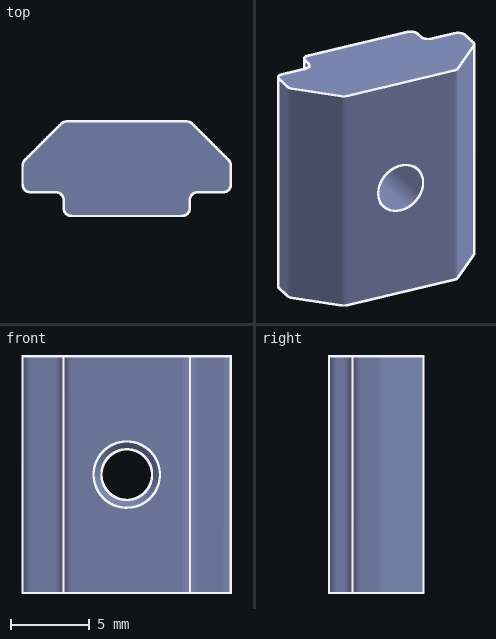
import cadquery as cq

width = 13.2
depth = 6.0
length = 15.0

stem_width = 8.0
stem_height = 1.5
edge_radius = 0.5

hole_diameter = 3.2
countersink_diameter = 4.2

half_width = width / 2
half_stem = stem_width / 2
front_y = -depth / 2
back_y = depth / 2
shoulder_y = front_y + stem_height
bevel = half_width - half_stem


def make_body():
    """Extrude the T-nut profile and round all its long edges."""
    right_side = [
        (half_stem, front_y),
        (half_stem, shoulder_y),
        (half_width, shoulder_y),
        (half_width, back_y - bevel),
        (half_stem, back_y),
    ]
    left_side = [(-x, y) for x, y in reversed(right_side)]
    profile = cq.Workplane("XY").polyline(right_side + left_side).close()
    return profile.extrude(length / 2, both=True).edges("|Z").fillet(edge_radius)


def make_hole():
    """Through hole along Y, countersunk on the front face."""
    hole_radius = hole_diameter / 2
    countersink_radius = countersink_diameter / 2
    countersink_depth = countersink_radius - hole_radius
    half_section = [
        (0, front_y),
        (countersink_radius, front_y),
        (hole_radius, front_y + countersink_depth),
        (hole_radius, back_y),
        (0, back_y),
    ]
    return cq.Workplane("XY").polyline(half_section).close().revolve(360, (0, 0, 0), (0, 1, 0))


result = make_body().cut(make_hole())